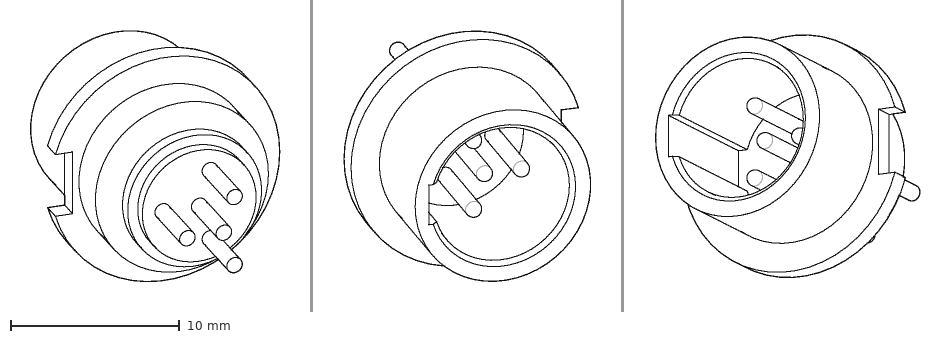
import cadquery as cq
import math

body_radius = 5.48
body_end = 11.05
flange_radius = 7.25
flange_start = 6.88
flange_end = 8.25
collar_radius = 4.24
collar_start = 12.34
collar_end = 13.21
rear_radius = 3.6
rear_end = 14.0

bore_radius = 4.24
mouth_radius = 4.53
mouth_chamfer = mouth_radius - bore_radius
bore_depth = 9.1
keyway_reach = 4.62
keyway_width = 2.55

notch_floor = 5.88
notch_width = 4.0

pin_radius = 0.5
pin_tip = 3.1
pin_end = 18.2
pin_circle_radius = 2.31
pin_angles = (73, 180, 287)


def make_shell():
    """Revolve the stepped outer profile, including the flange and the cone."""
    profile = (
        cq.Workplane("XY")
        .polyline([
            (0, 0),
            (0, body_radius),
            (flange_start, body_radius),
            (flange_start, flange_radius),
            (flange_end, flange_radius),
            (flange_end, body_radius),
            (body_end, body_radius),
            (collar_start, collar_radius),
            (collar_end, collar_radius),
            (collar_end, rear_radius),
            (rear_end, rear_radius),
            (rear_end, 0),
        ])
        .close()
    )
    return profile.revolve(360, (0, 0, 0), (1, 0, 0))


def make_socket():
    """Bore, mouth chamfer and keyway as one cutting body."""
    bore = (
        cq.Workplane("XY")
        .polyline([
            (0, 0),
            (0, mouth_radius),
            (mouth_chamfer, bore_radius),
            (bore_depth, bore_radius),
            (bore_depth, 0),
        ])
        .close()
        .revolve(360, (0, 0, 0), (1, 0, 0))
    )
    keyway = cq.Workplane("XY").box(
        bore_depth, keyway_reach, keyway_width, centered=(False, False, True)
    )
    return bore.union(keyway)


def make_notch():
    """Block that opens the flange rim outward from the notch floor."""
    return cq.Workplane("XY").box(
        flange_end - flange_start,
        flange_radius,
        notch_width,
        centered=(False, False, True),
    ).translate((flange_start, -notch_floor - flange_radius, 0))


def make_pin(y, z):
    """Round pin along X with a hemispherical tip inside the socket."""
    tip_center = pin_tip + pin_radius
    shaft = cq.Workplane("YZ").circle(pin_radius).extrude(pin_end - tip_center)
    tip = cq.Workplane("YZ").sphere(pin_radius)
    return shaft.union(tip).translate((tip_center, y, z))


pin_places = [(0, 0)]
for angle in pin_angles:
    turn = math.radians(angle)
    pin_places.append((pin_circle_radius * math.cos(turn), pin_circle_radius * math.sin(turn)))

result = make_shell().cut(make_socket()).cut(make_notch())
for pin_y, pin_z in pin_places:
    result = result.union(make_pin(pin_y, pin_z))